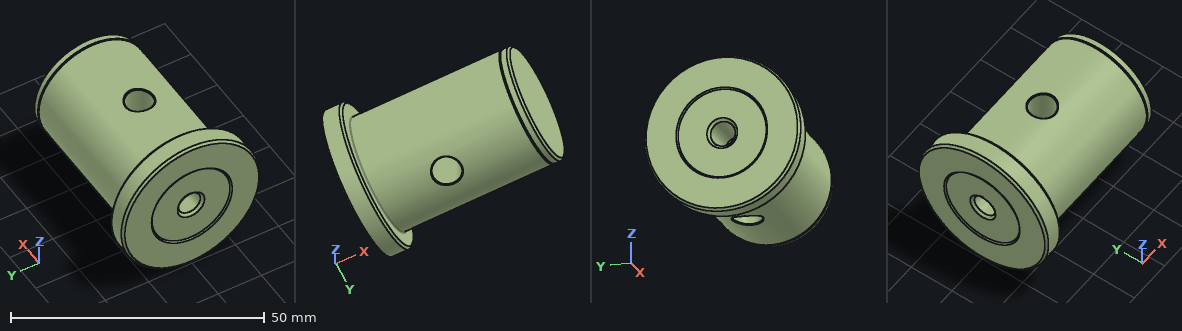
import cadquery as cq
import math

length = 40.0

flange_radius = 16.0
flange_thickness = 4.75
flange_chamfer = 0.5

shank_radius = 12.5
shank_fillet = 0.15
end_chamfer = 0.5

groove_x = length - 2.0
groove_depth = 0.15

recess_radius = 9.3
recess_floor_radius = 9.0
recess_depth = 0.3

tap_radius = 2.5
tap_mouth_radius = 3.1
tap_depth = 12.0
drill_point_angle = 118.0

cross_hole_x = length / 2
cross_hole_radius = 3.0
cross_hole_chamfer = 0.2


def revolve_about_axis(profile):
    return profile.close().revolve(360, (0, 0, 0), (1, 0, 0))


def make_outside():
    fillet_end_x = flange_thickness + shank_fillet
    profile = (
        cq.Workplane("XY")
        .moveTo(0, 0)
        .lineTo(0, flange_radius - flange_chamfer)
        .lineTo(flange_chamfer, flange_radius)
        .lineTo(flange_thickness - flange_chamfer, flange_radius)
        .lineTo(flange_thickness, flange_radius - flange_chamfer)
        .lineTo(flange_thickness, shank_radius + shank_fillet)
        .radiusArc((fillet_end_x, shank_radius), -shank_fillet)
        .lineTo(groove_x - groove_depth, shank_radius)
        .lineTo(groove_x, shank_radius - groove_depth)
        .lineTo(groove_x + groove_depth, shank_radius)
        .lineTo(length - end_chamfer, shank_radius)
        .lineTo(length, shank_radius - end_chamfer)
        .lineTo(length, 0)
    )
    return revolve_about_axis(profile)


def make_recess_and_tapped_hole():
    countersink_end_x = recess_depth + tap_mouth_radius - tap_radius
    tap_end_x = recess_depth + tap_depth
    drill_tip_x = tap_end_x + tap_radius / math.tan(math.radians(drill_point_angle / 2))
    profile = (
        cq.Workplane("XY")
        .moveTo(0, 0)
        .lineTo(0, recess_radius)
        .lineTo(recess_depth, recess_floor_radius)
        .lineTo(recess_depth, tap_mouth_radius)
        .lineTo(countersink_end_x, tap_radius)
        .lineTo(tap_end_x, tap_radius)
        .lineTo(drill_tip_x, 0)
    )
    return revolve_about_axis(profile)


def make_cross_hole():
    return (
        cq.Workplane("XY", origin=(cross_hole_x, 0, -flange_radius))
        .circle(cross_hole_radius)
        .extrude(2 * flange_radius)
    )


def cut_cross_hole(body):
    drilled = body.cut(make_cross_hole())
    mouths = drilled.edges("%BSPLINE")
    return mouths.chamfer(cross_hole_chamfer)


result = cut_cross_hole(make_outside()).cut(make_recess_and_tapped_hole())